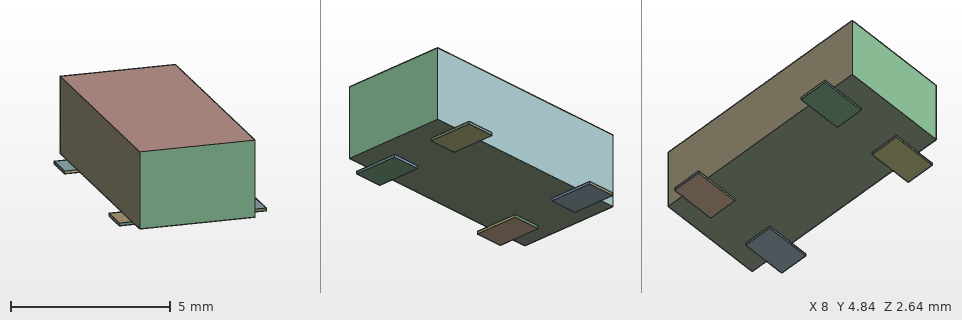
import cadquery as cq

housing_length = 8.0
housing_width = 3.8
total_height = 2.64

pad_thickness = 0.1
pad_width = 1.05
pad_length = 1.63
pad_pitch = 5.5
left_pad_inset = 0.68
back_overhang = 0.62
front_overhang = 0.42

housing_height = total_height - pad_thickness
left_pad_x = -housing_length / 2 + left_pad_inset + pad_width / 2
back_pad_y = housing_width / 2 + back_overhang - pad_length / 2
front_pad_y = -housing_width / 2 - front_overhang + pad_length / 2


def make_housing():
    """Plain block with its underside at Z = 0."""
    return cq.Workplane("XY").box(
        housing_length, housing_width, housing_height, centered=(True, True, False)
    )


def make_pad(x, y):
    """Flat pad centred at (x, y), its top touching the housing underside."""
    return (
        cq.Workplane("XY")
        .box(pad_width, pad_length, pad_thickness, centered=(True, True, False))
        .translate((x, y, -pad_thickness))
    )


housing = make_housing()
pads = [
    make_pad(x, y)
    for x in (left_pad_x, left_pad_x + pad_pitch)
    for y in (front_pad_y, back_pad_y)
]

result = cq.Compound.makeCompound([housing.val(), *[pad.val() for pad in pads]])